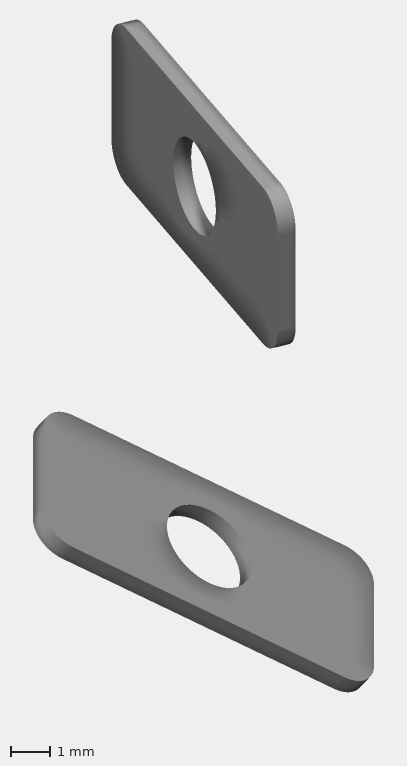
import cadquery as cq

length = 10.2
thickness = 0.5
height = 4.7
corner_radius = 0.9
hole_diameter = 2.6

plate = cq.Workplane("XY").box(length, thickness, height)
plate = plate.edges("|Y").fillet(corner_radius)

result = plate.faces("<Y").workplane(centerOption="CenterOfBoundBox").hole(hole_diameter)